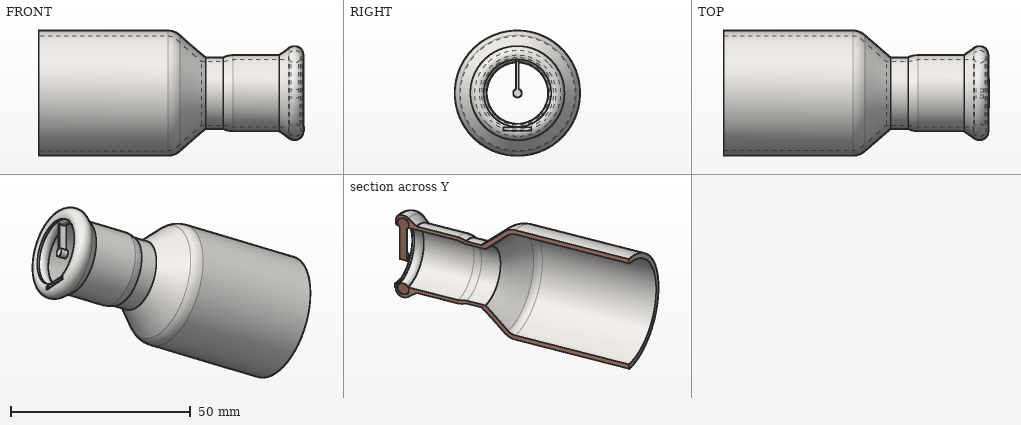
import cadquery as cq
import math

pad_end_x = 74.0
pad_height = 0.2
end_x = pad_end_x - pad_height
shoulder_start_x = 36.0
neck_start_x = 46.5
neck_end_x = 51.35
socket_start_x = 54.0
flare_start_x = 67.0
bead_start_x = 69.6

spigot_radius = 35.0 / 2
spigot_bore_radius = 32.0 / 2
neck_radius = 20.0 / 2
neck_bore_radius = 17.75 / 2
socket_radius = 21.3 / 2
socket_bore_radius = 18.8 / 2

shoulder_bend_radius = 4.95
cone_angle = math.radians(41.5)

bead_bend_radius = 2.5
bead_outer_radius = 26.3 / 2
bead_centre_x = end_x - bead_bend_radius
bead_centre_radius = bead_outer_radius - bead_bend_radius

seal_inner_radius = 17.0 / 2
seal_section_radius = 1.74
seal_centre_radius = seal_inner_radius + seal_section_radius
knob_diameter = 2.45
spoke_width = 0.8
spoke_depth = 2.2

pad_width = 7.8
pad_root = 0.6
pad_bottom_z = -10.4
pad_top_z = -9.55


def polar(centre, radius, angle):
    """Point on an arc, with the angle measured from the radial direction towards +X."""
    return (centre[0] + radius * math.sin(angle), centre[1] + radius * math.cos(angle))


def revolve_about_x(profile):
    return profile.close().revolve(360, (0, 0, 0), (1, 0, 0))


def make_outer_shape():
    bend_centre = (shoulder_start_x, spigot_radius - shoulder_bend_radius)
    bead_centre = (bead_centre_x, bead_centre_radius)
    bead_start_angle = math.asin((bead_start_x - bead_centre_x) / bead_bend_radius)
    bead_lip_angle = math.acos((socket_bore_radius - bead_centre_radius) / bead_bend_radius)
    bead_lip_x = bead_centre_x + bead_bend_radius * math.sin(bead_lip_angle)
    profile = (
        cq.Workplane("XY")
        .lineTo(0, spigot_radius)
        .lineTo(shoulder_start_x, spigot_radius)
        .threePointArc(
            polar(bend_centre, shoulder_bend_radius, cone_angle / 2),
            polar(bend_centre, shoulder_bend_radius, cone_angle),
        )
        .lineTo(neck_start_x, neck_radius)
        .lineTo(neck_end_x, neck_radius)
    )
    rise = socket_radius - neck_radius
    run = socket_start_x - neck_end_x
    blend_radius = (run**2 + rise**2) / (2 * rise)
    blend_centre = (socket_start_x, socket_radius - blend_radius)
    blend_angle = math.asin(run / blend_radius)
    profile = (
        profile.threePointArc(
            polar(blend_centre, blend_radius, -blend_angle / 2),
            (socket_start_x, socket_radius),
        )
        .lineTo(flare_start_x, socket_radius)
        .lineTo(*polar(bead_centre, bead_bend_radius, bead_start_angle))
        .threePointArc(
            polar(bead_centre, bead_bend_radius, math.pi / 4),
            polar(bead_centre, bead_bend_radius, bead_lip_angle),
        )
        .lineTo(bead_lip_x, 0)
    )
    return revolve_about_x(profile)


def make_bore():
    bend_radius = shoulder_bend_radius - (spigot_radius - spigot_bore_radius)
    bend_centre = (shoulder_start_x, spigot_bore_radius - bend_radius)
    cone_start = polar(bend_centre, bend_radius, cone_angle)
    cone_end_x = cone_start[0] + (cone_start[1] - neck_bore_radius) / math.tan(cone_angle)
    profile = (
        cq.Workplane("XY")
        .lineTo(0, spigot_bore_radius)
        .lineTo(shoulder_start_x, spigot_bore_radius)
        .threePointArc(polar(bend_centre, bend_radius, cone_angle / 2), cone_start)
        .lineTo(cone_end_x, neck_bore_radius)
        .lineTo(neck_end_x, neck_bore_radius)
        .lineTo(socket_start_x, socket_bore_radius)
        .lineTo(end_x, socket_bore_radius)
        .lineTo(end_x, 0)
    )
    return revolve_about_x(profile)


def make_seal_ring():
    return (
        cq.Workplane("XY")
        .center(bead_centre_x, seal_centre_radius)
        .circle(seal_section_radius)
        .revolve(360, (0, -seal_centre_radius, 0), (1, -seal_centre_radius, 0))
    )


def make_end_pad():
    return (
        cq.Workplane("XY")
        .box(pad_height + pad_root, pad_width, pad_top_z - pad_bottom_z, centered=(False, True, False))
        .translate((end_x - pad_root, 0, pad_bottom_z))
    )


def make_housing():
    return make_outer_shape().cut(make_bore()).cut(make_seal_ring()).union(make_end_pad())


def make_seal():
    spoke = (
        cq.Workplane("XY")
        .box(spoke_depth, spoke_width, seal_centre_radius, centered=(True, True, False))
        .translate((bead_centre_x, 0, 0))
    )
    knob = (
        cq.Workplane("YZ", origin=(bead_centre_x - spoke_depth / 2, 0, 0))
        .circle(knob_diameter / 2)
        .extrude(spoke_depth)
    )
    return make_seal_ring().union(spoke).union(knob)


housing = make_housing()
seal = make_seal()
result = cq.Compound.makeCompound([housing.solids().val(), seal.solids().val()])